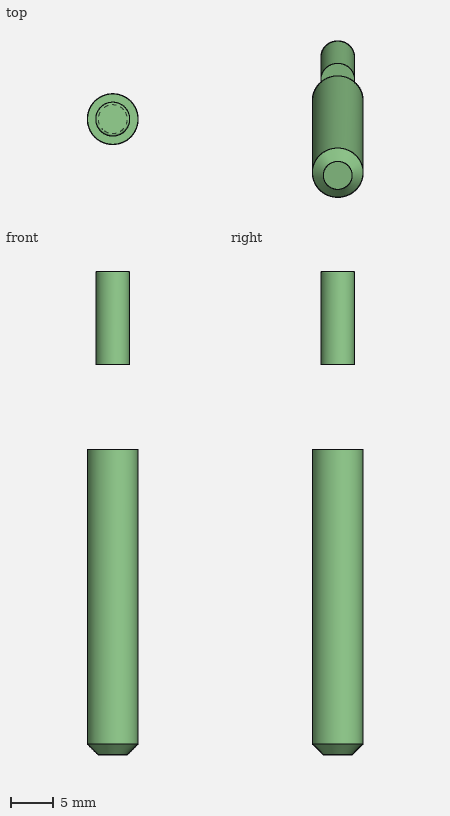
import cadquery as cq

rod_diameter = 6.0
rod_length = 36.0
rod_taper = 1.3

pin_diameter = 4.0
pin_length = 11.0
pin_edge_fillet = 0.2
pin_gap = 10.0
pin_base_z = rod_length + pin_gap


def make_rod():
    """Rod with a 45 degree taper around its bottom edge."""
    rod = cq.Workplane("XY").circle(rod_diameter / 2).extrude(rod_length)
    return rod.faces("<Z").chamfer(rod_taper)


def make_pin():
    """Pin with a lightly rounded top edge."""
    pin = cq.Workplane("XY", origin=(0, 0, pin_base_z)).circle(pin_diameter / 2).extrude(pin_length)
    return pin.faces(">Z").fillet(pin_edge_fillet)


rod = make_rod()
pin = make_pin()

result = cq.Compound.makeCompound([rod.val(), pin.val()])